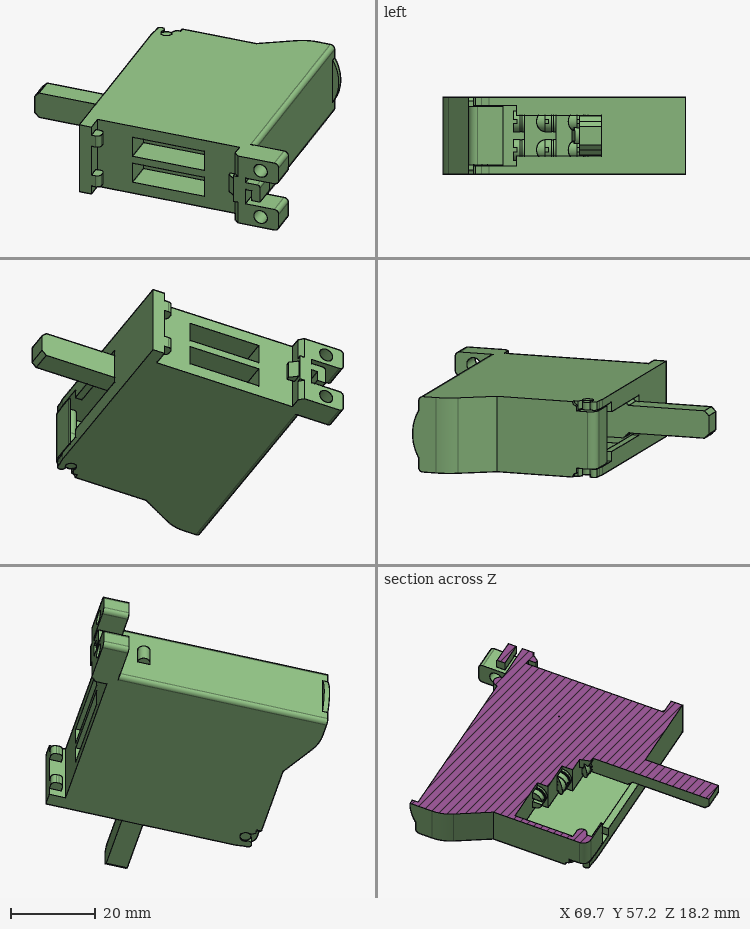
import cadquery as cq
import math


width = 18.2
back_x = 42.1
top_y = 57.2
shoulder_y = 51.15
slope_start_x = 24.6
crest_start_x = 37.8
slope_angle = math.radians(30)
corner_radius = 2.1
back_fillet = 1.1

foot_length = 3.1
recess_end_x = 39.0
recess_depth = 4.0
clip_reach = 2.15
clip_height = 2.9
clip_radius = 1.1
clip_inner_z = 3.9
clip_width = 3.0
hook_reach = 1.95
hook_tip_height = 0.85
foot_chamfer = 1.1

ear_tip_x = 50.5
ear_height = 6.2
ear_gap = 7.0
ear_corner_radius = 1.1
ear_hole_x = 45.9
ear_hole_z = 6.3
ear_hole_diameter = 3.4
tab_tip_x = 45.8
tab_width = 4.5
tab_corner_radius = 0.7
tab_notch_length = 1.5
tab_notch_width = 2.65

back_projection = 1.5
bump_y = 12.1
lip_thickness = 1.3
lip_half_chord = 5.7

pocket_start_x = 11.9
pocket_length = 18.2
pocket_width = 5.15
pocket_gap = 1.9
pocket_depth = 7.0

wall = 1.75
window_bottom_y = 19.85
window_width = 9.6
opening_bottom_y = 39.9
opening_width = 14.2
cavity_top_y = 49.85
step_edges_y = (30.5, 38.0)
first_step_x = 13.95
step_drop = 2.8

screw_radius = 2.5
screw_offset_z = 3.35
screw_length = 2.6
screw_groove_start = 0.6
screw_groove_width = 0.4
screw_groove_depth = 0.15
slot_width = 1.05
slot_depth = 0.85
sleeve_radius = 2.4
sleeve_overhang = 2.0

lever_tip_x = -19.2
lever_height = 5.15
lever_width = 6.6
lever_chamfer = 1.1
lever_root_width = 9.2
lever_flare_x = 0.85
hub_radius = 2.65
hub_base_length = 1.75
hub_crown_length = 1.05

door_bottom_y = 43.1
door_width = 13.8
door_thickness = 0.4
hinge_x = 3.1
hinge_y = 48.0
hinge_radius = 1.3
hinge_pin_length = 17.4
hinge_cut_end_x = 4.8
hinge_notch_radius = 1.0
hinge_cut_y = 50.05
hinge_throat_rise = 0.85
horn_crest_x = 1.1
horn_tip = (0.3, 49.5)
horn_bend = (0.2, 48.1)
horn_foot_y = 46.35


def block(x0, x1, y0, y1, z_width, z_center=0.0):
    """Box between two X and two Y positions, centred on z_center."""
    return (
        cq.Workplane("XY")
        .box(x1 - x0, y1 - y0, z_width, centered=False)
        .translate((x0, y0, z_center - z_width / 2))
    )


def extrude_sym(sketch, z_width):
    """Extrude an XY outline equally to both sides of the mid-plane."""
    return sketch.extrude(z_width / 2, both=True)


def make_housing():
    run = crest_start_x - slope_start_x
    rise = top_y - shoulder_y
    crest_radius = (run * math.tan(slope_angle) - rise) / (1 / math.cos(slope_angle) - 1)
    arc_start = (
        crest_start_x - crest_radius * math.sin(slope_angle),
        top_y - crest_radius * (1 - math.cos(slope_angle)),
    )
    arc_middle = (
        crest_start_x - crest_radius * math.sin(slope_angle / 2),
        top_y - crest_radius * (1 - math.cos(slope_angle / 2)),
    )
    outline = (
        cq.Workplane("XY")
        .moveTo(0, recess_depth)
        .lineTo(0, shoulder_y - corner_radius)
        .radiusArc((corner_radius, shoulder_y), corner_radius)
        .lineTo(slope_start_x, shoulder_y)
        .lineTo(*arc_start)
        .threePointArc(arc_middle, (crest_start_x, top_y))
        .lineTo(back_x, top_y)
        .lineTo(back_x, recess_depth)
        .close()
    )
    return extrude_sym(outline, width).edges(">X and |Y").fillet(back_fillet)


def make_ears():
    ears = block(recess_end_x, ear_tip_x, 0, ear_height, width)
    ears = ears.cut(block(back_x, ear_tip_x, 0, ear_height, ear_gap))
    ears = ears.edges(">X and |Y").fillet(ear_corner_radius)
    holes = (
        cq.Workplane("XZ")
        .pushPoints([(ear_hole_x, ear_hole_z), (ear_hole_x, -ear_hole_z)])
        .circle(ear_hole_diameter / 2)
        .extrude(-ear_height)
    )
    ears = ears.cut(holes)
    chamfer_width = (width - ear_gap) / 2
    for side in (-1, 1):
        wedge = (
            cq.Workplane("XY")
            .polyline([
                (recess_end_x, 0),
                (recess_end_x + foot_chamfer, 0),
                (recess_end_x, foot_chamfer),
            ])
            .close()
            .extrude(chamfer_width / 2, both=True)
            .translate((0, 0, side * (ear_gap + chamfer_width) / 2))
        )
        ears = ears.cut(wedge)
    tab = block(back_x, tab_tip_x, 0, ear_height, tab_width)
    tab = tab.edges(">X and >Z and |Y").fillet(tab_corner_radius)
    notch_z = (tab_notch_width - tab_width) / 2
    notch = block(back_x, back_x + tab_notch_length, 0, ear_height, tab_notch_width, notch_z)
    return ears.union(tab.cut(notch))


def make_rail_foot():
    foot = block(0, foot_length, 0, recess_depth, width)
    clip = block(foot_length, foot_length + clip_reach, 0, clip_height, clip_width)
    clip = clip.edges(">X and |Z").fillet(clip_radius)
    clip_z = clip_inner_z + clip_width / 2
    for side in (-1, 1):
        foot = foot.union(clip.translate((0, 0, side * clip_z)))
    return foot


def make_rail_hook():
    tip_x = recess_end_x - hook_reach
    outline = (
        cq.Workplane("XY")
        .moveTo(tip_x, clip_height)
        .lineTo(recess_end_x, clip_height)
        .lineTo(recess_end_x, foot_chamfer / 2)
        .lineTo(tip_x, clip_height - hook_tip_height)
        .close()
    )
    return extrude_sym(outline, tab_width)


def make_back_projections():
    bump = extrude_sym(cq.Workplane("XY").center(back_x, bump_y).circle(back_projection), tab_width)
    lip = (
        cq.Workplane("XZ")
        .moveTo(back_x, -lip_half_chord)
        .threePointArc((back_x + back_projection, 0), (back_x, lip_half_chord))
        .close()
        .extrude(-lip_thickness)
        .translate((0, top_y - lip_thickness, 0))
    )
    return bump.union(lip)


def make_pockets():
    pocket_end_x = pocket_start_x + pocket_length
    pocket_top_y = recess_depth + pocket_depth
    pocket_z = (pocket_gap + pocket_width) / 2
    upper = block(pocket_start_x, pocket_end_x, recess_depth, pocket_top_y, pocket_width, pocket_z)
    return upper.union(upper.mirror("XY"))


def make_cavity():
    second_edge_y, third_edge_y = step_edges_y
    second_step_x = first_step_x + step_drop
    third_step_x = second_step_x + step_drop
    inside = extrude_sym(
        cq.Workplane("XY")
        .moveTo(wall, window_bottom_y)
        .lineTo(first_step_x, window_bottom_y)
        .lineTo(first_step_x, second_edge_y)
        .lineTo(second_step_x, second_edge_y)
        .lineTo(second_step_x, third_edge_y)
        .lineTo(third_step_x, third_edge_y)
        .lineTo(third_step_x, cavity_top_y)
        .lineTo(wall, cavity_top_y)
        .close(),
        opening_width,
    )
    window = block(0, wall, window_bottom_y, opening_bottom_y, window_width)
    door_opening = block(0, wall, opening_bottom_y, shoulder_y, opening_width)
    top_opening = block(0, hinge_cut_end_x, cavity_top_y, shoulder_y, opening_width)
    return inside.union(window).union(door_opening).union(top_opening)


def slanted_half_rod(start_y, radius, base_length, crown_length):
    """Half rod along Y on the -X side of the axis; its end slants from base_length to crown_length."""
    outline = (
        cq.Workplane("XY")
        .moveTo(0, start_y)
        .lineTo(-radius, start_y)
        .lineTo(-radius, start_y + crown_length)
        .lineTo(0, start_y + base_length)
        .close()
    )
    rod = cq.Workplane("XZ").circle(radius).extrude(-max(base_length, crown_length))
    return extrude_sym(outline, 2 * radius).intersect(rod.translate((0, start_y, 0)))


def make_screw(start_y, base_x, z, has_sleeve):
    """Slotted terminal screw along Y half sunk in a step, optionally with a slanted end sleeve."""
    end_y = start_y + screw_length
    groove_start_y = start_y + screw_groove_start
    groove_end_y = groove_start_y + screw_groove_width
    groove_radius = screw_radius - screw_groove_depth
    profile = (
        cq.Workplane("XY")
        .moveTo(0, start_y)
        .lineTo(screw_radius, start_y)
        .lineTo(screw_radius, groove_start_y)
        .lineTo(groove_radius, groove_start_y)
        .lineTo(groove_radius, groove_end_y)
        .lineTo(screw_radius, groove_end_y)
        .lineTo(screw_radius, end_y)
        .lineTo(0, end_y)
        .close()
    )
    screw = profile.revolve(360, (0, 0, 0), (0, 1, 0)).rotate((0, 0, 0), (0, 1, 0), 180)
    slot = block(-screw_radius, screw_radius, end_y - slot_depth, end_y, slot_width)
    screw = screw.cut(slot)
    if has_sleeve:
        screw = screw.union(slanted_half_rod(end_y, sleeve_radius, 0, sleeve_overhang))
    return screw.translate((base_x, 0, z))


def make_screws():
    second_edge_y, third_edge_y = step_edges_y
    pitch = third_edge_y - second_edge_y
    screws = cq.Workplane("XY")
    step_count = len(step_edges_y) + 1
    for step in range(step_count):
        start_y = second_edge_y + (step - 1) * pitch
        base_x = first_step_x + step * step_drop
        has_sleeve = step < step_count - 1
        for side in (-1, 1):
            screws = screws.add(make_screw(start_y, base_x, side * screw_offset_z, has_sleeve))
    return screws.combine()


def make_lever():
    lever_top_y = window_bottom_y + lever_height
    lever = block(lever_tip_x, first_step_x, window_bottom_y, lever_top_y, lever_width)
    lever = lever.edges("<X and |Y").chamfer(lever_chamfer)
    flare_length = (lever_root_width - lever_width) / 2
    flare_end_x = lever_flare_x + flare_length
    root = (
        cq.Workplane("XZ")
        .polyline([
            (lever_flare_x, lever_width / 2),
            (flare_end_x, lever_root_width / 2),
            (first_step_x, lever_root_width / 2),
            (first_step_x, -lever_root_width / 2),
            (flare_end_x, -lever_root_width / 2),
            (lever_flare_x, -lever_width / 2),
        ])
        .close()
        .extrude(-lever_height)
        .translate((0, window_bottom_y, 0))
    )
    hub = slanted_half_rod(lever_top_y, hub_radius, hub_base_length, hub_crown_length)
    return lever.union(root).union(hub.translate((first_step_x, 0, 0)))


def make_hinge_cut():
    """Material removed from the corner of both side walls around the door hinge."""
    pin_edge_y = hinge_y + hinge_throat_rise
    pin_edge_offset = math.sqrt(hinge_radius**2 - hinge_throat_rise**2)
    outline = (
        cq.Workplane("XY")
        .moveTo(hinge_cut_end_x, shoulder_y)
        .lineTo(hinge_cut_end_x, hinge_cut_y)
        .lineTo(hinge_x + pin_edge_offset, pin_edge_y)
        .threePointArc((hinge_x, hinge_y - hinge_radius), (hinge_x - pin_edge_offset, pin_edge_y))
        .threePointArc((horn_crest_x, hinge_cut_y), horn_tip)
        .lineTo(*horn_bend)
        .lineTo(0, horn_foot_y)
        .lineTo(0, shoulder_y)
        .close()
    )
    notch = (
        cq.Workplane("XZ")
        .moveTo(hinge_cut_end_x, width / 2)
        .lineTo(hinge_cut_end_x + hinge_notch_radius, width / 2)
        .radiusArc((hinge_cut_end_x, width / 2 - hinge_notch_radius), hinge_notch_radius)
        .close()
        .extrude(hinge_cut_y - shoulder_y)
        .translate((0, hinge_cut_y, 0))
    )
    return extrude_sym(outline, width).union(notch).union(notch.mirror("XY"))


def make_door():
    leaf = block(0, door_thickness, door_bottom_y, shoulder_y, door_width)
    cap = block(0, hinge_cut_end_x, hinge_cut_y, shoulder_y, door_width)
    knuckle = block(door_thickness, hinge_x + hinge_radius, hinge_y, shoulder_y, door_width)
    door = leaf.union(cap).union(knuckle).edges("<X and >Y and |Z").fillet(corner_radius)
    pin = extrude_sym(cq.Workplane("XY").center(hinge_x, hinge_y).circle(hinge_radius), hinge_pin_length)
    return door.union(pin)


housing = make_housing().union(make_ears()).union(make_rail_foot()).union(make_rail_hook())
housing = housing.union(make_back_projections())
housing = housing.cut(make_pockets()).cut(make_cavity()).cut(make_hinge_cut())
result = housing.union(make_screws()).union(make_lever()).union(make_door())